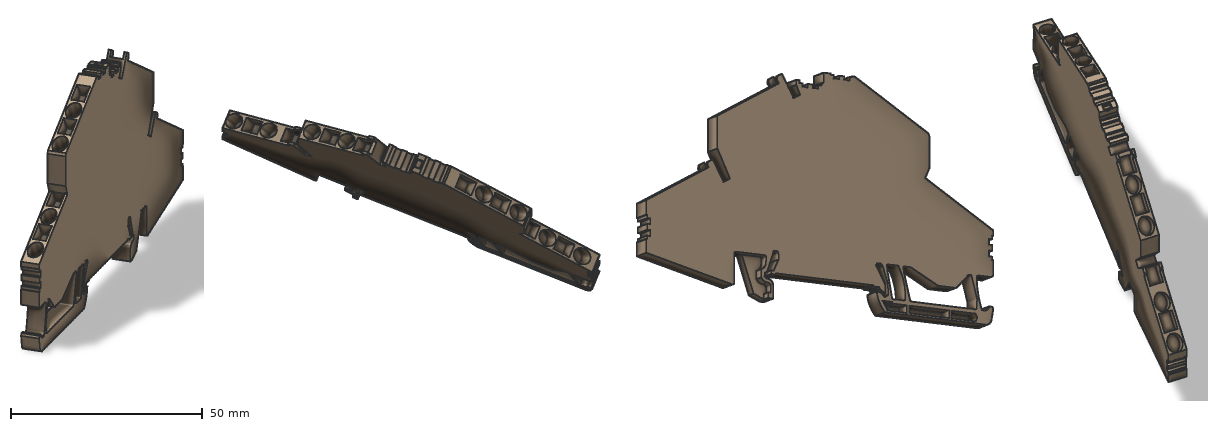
import cadquery as cq
import math

THICKNESS = 5.1
LENGTH = 104.0
HEIGHT = 62.0
HALF_THICKNESS = THICKNESS / 2
HALF_LENGTH = LENGTH / 2
CUT_MARGIN = 1.0

SLOPE_ANGLE = math.radians(30)
UPPER_WALL_POS_Y = 30.7
UPPER_WALL_NEG_Y = -32.9
WALL_BEVEL_WIDTH = 0.3
WALL_BEVEL_HEIGHT = 0.6
UPPER_SLOPE_POS_Z = 47.0
UPPER_SLOPE_NEG_Z = 49.0
LOWER_SLOPE_POS_Z = 22.2
LOWER_SLOPE_NEG_Z = 25.4
LOWER_SLOPE_NEG_TOP_Y = -31.6

CLAMP_WIDTH = 4.1
CLAMP_LENGTH = 5.1
CLAMP_DEPTH = 5.0
RELEASE_WIDTH = 3.6
RELEASE_LENGTH = 5.1
RELEASE_DEPTH = 4.5
TAB_RELEASE_LENGTH = 4.8
OPENING_CLEARANCE = 0.1
CLAMP_TO_RELEASE = 5.8
TERMINAL_PITCH = 11.2
TERMINALS_PER_SLOPE = 2

LOWER_POS_CLAMP_Y = 49.8
UPPER_POS_CLAMP_Y = 27.9
UPPER_NEG_CLAMP_Y = -30.3
LOWER_NEG_CLAMP_Y = -48.2

SLOT_WIDTH = 2.2
SLOT_DEPTH = 5.2
TAB_THICKNESS = 2.2
TAB_BEVEL = 0.6
UPPER_TAB_Y = 10.4
UPPER_TAB_HEIGHT = 1.9
LOWER_TAB_Y = 31.4
LOWER_TAB_HEIGHT = 1.4

UPPER_TAB_RELEASE_END_Y = 15.6
LOWER_TAB_RELEASE_END_Y = 35.9

GROOVE_WIDTH = 1.6
GROOVE_PITCH = 3.1
GROOVE_DEPTH = 0.9
RECESS_LENGTH = 6.5
RECESS_DEPTH = 0.3
END_GROOVES_POS_Z = 15.1
END_GROOVES_NEG_Z = 20.7
LOW_TOP_GROOVES_Y = 2.8
HIGH_TOP_GROOVES_Y = -6.5

LOW_STEP_Z = 58.8
LOW_RIDGE_Z = 59.2
HIGH_STEP_Y = -1.1
TOP_POCKET_WIDTH = 2.2
TOP_POCKET_LENGTH = 1.5
TOP_POCKET_DEPTH = 1.0
TOP_POCKET_WALL = 0.3

UNDERSIDE_Z = 6.9
SUPPORT_TOP_Z = 12.9
WINDOW_APEX_Z = 13.3
HOOK_TOP_Z = 11.3
HOOK_GAP_ROUND = 0.6
FOOT_TOP_Z = 3.7
END_ROUND = 0.7
WINDOW_ROUND = 0.5
HOOK_RECESS_DEPTH = HALF_THICKNESS
FOOT_POCKET_DEPTH = 4.1
FOOT_POCKET_BOTTOM_Z = 0.5
FOOT_POCKET_TOP_Z = 2.6
FOOT_POCKET_ROUND = 0.2


def profile_plane(x):
    """Sketch plane at the given X, with sketch axes along Y and Z."""
    return cq.Workplane("YZ", origin=(x, 0, 0))


def prism(points, x_start=-HALF_THICKNESS, depth=THICKNESS):
    return profile_plane(x_start).polyline(points).close().extrude(depth)


def side_box(y_min, y_max, z_min, z_max):
    """Box through the full thickness."""
    return prism([(y_min, z_min), (y_max, z_min), (y_max, z_max), (y_min, z_max)])


def on_slope(base, side, along, above=0.0):
    """Point reached from base going down the slope and outward from its surface."""
    y, z = base
    cos_a, sin_a = math.cos(SLOPE_ANGLE), math.sin(SLOPE_ANGLE)
    return (y + side * (along * cos_a + above * sin_a), z - along * sin_a + above * cos_a)


def slope_z(y, end):
    """Height of the slope that ends at the given outer (Y, Z) point."""
    return end[1] + abs(end[0] - y) * math.tan(SLOPE_ANGLE)


POS_LOWER_END = (HALF_LENGTH, LOWER_SLOPE_POS_Z)
POS_UPPER_END = (UPPER_WALL_POS_Y, UPPER_SLOPE_POS_Z)
NEG_UPPER_END = (UPPER_WALL_NEG_Y, UPPER_SLOPE_NEG_Z)
NEG_LOWER_END = (-HALF_LENGTH, LOWER_SLOPE_NEG_Z)


def tab_and_slot(tab_y, slope_end, tab_height):
    """Outline of a retaining tab followed by the marker slot behind it."""
    base = (tab_y, slope_z(tab_y, slope_end))
    return [
        on_slope(base, 1, TAB_THICKNESS),
        on_slope(base, 1, TAB_THICKNESS, tab_height - TAB_BEVEL),
        on_slope(base, 1, TAB_THICKNESS - TAB_BEVEL, tab_height),
        on_slope(base, 1, 0, tab_height),
        on_slope(base, 1, 0, -SLOT_DEPTH),
        on_slope(base, 1, -SLOT_WIDTH, -SLOT_DEPTH),
    ]


def body_profile():
    """Closed side outline, drawn from the +Y end over the top to the -Y end and back below."""
    peak_y = UPPER_WALL_NEG_Y + (HEIGHT - UPPER_SLOPE_NEG_Z) / math.tan(SLOPE_ANGLE)
    bevel_y = UPPER_WALL_NEG_Y + WALL_BEVEL_WIDTH
    top_edge = [
        (HALF_LENGTH, 8.1),
        POS_LOWER_END,
        *tab_and_slot(LOWER_TAB_Y, POS_LOWER_END, LOWER_TAB_HEIGHT),
        (UPPER_WALL_POS_Y, 38.3),
        POS_UPPER_END,
        *tab_and_slot(UPPER_TAB_Y, POS_UPPER_END, UPPER_TAB_HEIGHT),
        (7.1, 57.8),
        (7.1, LOW_RIDGE_Z),
        (6.0, LOW_RIDGE_Z),
        (6.0, LOW_STEP_Z),
        (-0.6, LOW_STEP_Z),
        (HIGH_STEP_Y, 59.4),
        (HIGH_STEP_Y, HEIGHT),
        (peak_y, HEIGHT),
        (bevel_y, slope_z(bevel_y, NEG_UPPER_END)),
        (UPPER_WALL_NEG_Y, UPPER_SLOPE_NEG_Z - WALL_BEVEL_HEIGHT),
        (UPPER_WALL_NEG_Y, 39.9),
        (LOWER_SLOPE_NEG_TOP_Y, slope_z(LOWER_SLOPE_NEG_TOP_Y, NEG_LOWER_END)),
        NEG_LOWER_END,
        (-HALF_LENGTH, SUPPORT_TOP_Z + END_ROUND),
    ]
    outer_leg_y = -47.0
    snap_slot = [
        (-18.1, 5.3),
        (-19.5, 4.1),
        (-20.5, 4.8),
        (-20.4, 7.7),
        (-18.8, 12.3),
        (-18.2, SUPPORT_TOP_Z),
        (-17.3, SUPPORT_TOP_Z),
        (-16.8, 12.3),
        (-19.5, 7.5),
        (-19.7, 5.0),
        (-18.0, 6.0),
        (-17.8, 6.5),
        (-16.0, 6.5),
        (-15.9, UNDERSIDE_Z),
    ]
    underside_lip = [(13.0, UNDERSIDE_Z), (13.1, 6.5), (14.6, 6.5), (14.6, 7.5), (13.8, 7.5)]
    gap_corner = (25.6, HOOK_TOP_Z)
    return (
        profile_plane(-HALF_THICKNESS)
        .polyline(top_edge)
        .radiusArc((-HALF_LENGTH + END_ROUND, SUPPORT_TOP_Z), -END_ROUND)
        .lineTo(outer_leg_y - END_ROUND, SUPPORT_TOP_Z)
        .radiusArc((outer_leg_y, SUPPORT_TOP_Z - END_ROUND), END_ROUND)
        .threePointArc((-47.3, 8.8), (-48.3, 4.7))
        .lineTo(-48.7, FOOT_TOP_Z)
        .threePointArc((-49.9, 3.8), (-50.8, 5.0))
        .lineTo(-51.7, 5.0)
        .lineTo(-HALF_LENGTH, 4.4)
        .lineTo(-51.5, 1.5)
        .threePointArc((-51.1, 0.6), (-50.2, 0))
        .lineTo(-19.5, 0)
        .threePointArc((-17.9, 2.4), (-17.1, 5.3))
        .polyline(snap_slot + underside_lip, includeCurrent=True)
        .lineTo(12.4, 10.6)
        .lineTo(12.4, 12.1)
        .threePointArc((13.2, SUPPORT_TOP_Z), (14.0, 12.1))
        .lineTo(15.8, UNDERSIDE_Z)
        .threePointArc((16.5, 6.0), (15.6, 5.2))
        .threePointArc((14.4, 4.6), (13.9, 3.7))
        .lineTo(13.9, 0)
        .lineTo(15.1, 0)
        .lineTo(18.4, 1.4)
        .lineTo(21.9, HOOK_TOP_Z)
        .lineTo(gap_corner[0] - HOOK_GAP_ROUND, HOOK_TOP_Z)
        .radiusArc((gap_corner[0], HOOK_TOP_Z - HOOK_GAP_ROUND), HOOK_GAP_ROUND)
        .lineTo(gap_corner[0], 3.1)
        .threePointArc((25.8, 2.6), (26.4, 2.5))
        .close()
    )


def foot_windows():
    """Two windows between the legs of the foot."""
    narrow = (
        profile_plane(-HALF_THICKNESS)
        .moveTo(-20.0, SUPPORT_TOP_Z)
        .lineTo(-21.7, FOOT_TOP_Z)
        .lineTo(-25.6, FOOT_TOP_Z)
        .threePointArc((-25.1, 9.2), (-23.5, SUPPORT_TOP_Z))
        .close()
        .extrude(THICKNESS)
    )
    wide = prism([
        (-24.9, SUPPORT_TOP_Z),
        (-27.1, FOOT_TOP_Z),
        (-47.0, FOOT_TOP_Z),
        (-47.1, 6.5),
        (-45.2, WINDOW_APEX_Z),
        (-41.0, 8.8),
        (-35.4, 8.8),
        (-27.1, SUPPORT_TOP_Z),
    ])
    return [window.edges("|X").fillet(WINDOW_ROUND) for window in (narrow, wide)]


def foot_pockets():
    """Three blind pockets in the -X face of the foot."""
    bottom, top = FOOT_POCKET_BOTTOM_Z, FOOT_POCKET_TOP_Z
    inner = [(-18.8, 3.0), (-20.4, bottom), (-26.1, bottom), (-26.1, top), (-21.8, top), (-21.6, 3.0)]
    middle = [(-26.8, bottom), (-38.8, bottom), (-38.8, top), (-26.8, top)]
    outer = [(-39.4, bottom), (-46.6, bottom), (-47.2, 1.6), (-46.6, top), (-39.4, top)]
    pockets = [prism(outline, depth=FOOT_POCKET_DEPTH) for outline in (middle, outer)]
    rounded = [pocket.edges("|X").fillet(FOOT_POCKET_ROUND) for pocket in pockets]
    return [prism(inner, depth=FOOT_POCKET_DEPTH)] + rounded


def hook_recess():
    """Region of the hook that is thinned from the -X face, leaving a strip along its inner edge."""
    return (
        profile_plane(-HALF_THICKNESS)
        .moveTo(21.9, HOOK_TOP_Z)
        .lineTo(16.6, HOOK_TOP_Z)
        .threePointArc((16.2, 11.1), (16.0, 10.7))
        .lineTo(16.2, 8.8)
        .threePointArc((16.6, 8.1), (17.6, 7.5))
        .lineTo(17.6, 5.3)
        .threePointArc((17.0, 4.6), (15.8, 4.2))
        .threePointArc((14.9, 3.7), (14.7, 3.2))
        .lineTo(14.7, 1.6)
        .lineTo(15.4, 1.6)
        .lineTo(15.4, -CUT_MARGIN)
        .lineTo(21.9, -CUT_MARGIN)
        .close()
        .extrude(HOOK_RECESS_DEPTH)
    )


def label_grooves(centre):
    """Spans (start, end, depth) of the recess and its two grooves about a centre."""
    spans = [(centre - RECESS_LENGTH / 2, centre + RECESS_LENGTH / 2, RECESS_DEPTH)]
    for side in (-1, 1):
        middle = centre + side * GROOVE_PITCH / 2
        spans.append((middle - GROOVE_WIDTH / 2, middle + GROOVE_WIDTH / 2, RECESS_DEPTH + GROOVE_DEPTH))
    return spans


def end_grooves(centre_z, side):
    cutters = []
    for z_min, z_max, depth in label_grooves(centre_z):
        y_limits = sorted([side * (HALF_LENGTH - depth), side * (HALF_LENGTH + CUT_MARGIN)])
        cutters.append(side_box(*y_limits, z_min, z_max))
    return cutters


def top_grooves(centre_y, face_z):
    return [
        side_box(y_min, y_max, face_z - depth, face_z + CUT_MARGIN)
        for y_min, y_max, depth in label_grooves(centre_y)
    ]


def top_pocket():
    y_centre = HIGH_STEP_Y - TOP_POCKET_WALL - TOP_POCKET_LENGTH / 2
    return (
        cq.Workplane("XY", origin=(0, y_centre, HEIGHT - TOP_POCKET_DEPTH))
        .rect(TOP_POCKET_WIDTH, TOP_POCKET_LENGTH)
        .extrude(TOP_POCKET_DEPTH + CUT_MARGIN)
    )


def slope_plane(y, slope_end, side, depth):
    """Plane sunk below a slope and facing outward, with its second axis along the slope."""
    y_sunk, z_sunk = on_slope((y, slope_z(y, slope_end)), side, 0, -depth)
    normal = (0, side * math.sin(SLOPE_ANGLE), math.cos(SLOPE_ANGLE))
    return cq.Workplane(cq.Plane(origin=(0, y_sunk, z_sunk), xDir=(1, 0, 0), normal=normal))


def clamp_opening(y, slope_end, side):
    return (
        slope_plane(y, slope_end, side, CLAMP_DEPTH)
        .ellipse(CLAMP_WIDTH / 2, CLAMP_LENGTH / 2)
        .extrude(CLAMP_DEPTH + OPENING_CLEARANCE)
    )


def release_opening(y, slope_end, side):
    return (
        slope_plane(y, slope_end, side, RELEASE_DEPTH)
        .rect(RELEASE_WIDTH, RELEASE_LENGTH)
        .extrude(RELEASE_DEPTH + OPENING_CLEARANCE)
    )


def tab_release_opening(outer_y, slope_end):
    """Release opening next to a marker slot, given the place of its outer edge."""
    middle_y = outer_y - TAB_RELEASE_LENGTH / 2 * math.cos(SLOPE_ANGLE)
    return (
        slope_plane(middle_y, slope_end, 1, RELEASE_DEPTH)
        .rect(RELEASE_WIDTH, TAB_RELEASE_LENGTH)
        .extrude(RELEASE_DEPTH + OPENING_CLEARANCE)
    )


def tab_notch(tab_y, tab_height, slope_end):
    """Passage through a retaining tab, level with the slope below it."""
    length = TAB_THICKNESS + 2 * CUT_MARGIN
    middle_y = tab_y + TAB_THICKNESS / 2 * math.cos(SLOPE_ANGLE)
    return (
        slope_plane(middle_y, slope_end, 1, 0)
        .rect(RELEASE_WIDTH, length)
        .extrude(tab_height + CUT_MARGIN)
    )


def terminal_openings(outer_clamp_y, slope_end, release_count):
    """Clamp openings along one slope, each followed inward by a release opening."""
    side = math.copysign(1, outer_clamp_y)
    inward = side * math.cos(SLOPE_ANGLE)
    clamp_places = [outer_clamp_y - inward * i * TERMINAL_PITCH for i in range(TERMINALS_PER_SLOPE)]
    release_places = [y - inward * CLAMP_TO_RELEASE for y in clamp_places[:release_count]]
    clamps = [clamp_opening(y, slope_end, side) for y in clamp_places]
    releases = [release_opening(y, slope_end, side) for y in release_places]
    return clamps + releases


cutters = [
    *foot_windows(),
    *foot_pockets(),
    hook_recess(),
    *end_grooves(END_GROOVES_POS_Z, 1),
    *end_grooves(END_GROOVES_NEG_Z, -1),
    *top_grooves(LOW_TOP_GROOVES_Y, LOW_STEP_Z),
    *top_grooves(HIGH_TOP_GROOVES_Y, HEIGHT),
    top_pocket(),
    *terminal_openings(LOWER_POS_CLAMP_Y, POS_LOWER_END, TERMINALS_PER_SLOPE - 1),
    *terminal_openings(UPPER_POS_CLAMP_Y, POS_UPPER_END, TERMINALS_PER_SLOPE - 1),
    tab_release_opening(LOWER_TAB_RELEASE_END_Y, POS_LOWER_END),
    tab_notch(LOWER_TAB_Y, LOWER_TAB_HEIGHT, POS_LOWER_END),
    tab_release_opening(UPPER_TAB_RELEASE_END_Y, POS_UPPER_END),
    tab_notch(UPPER_TAB_Y, UPPER_TAB_HEIGHT, POS_UPPER_END),
    *terminal_openings(UPPER_NEG_CLAMP_Y, NEG_UPPER_END, TERMINALS_PER_SLOPE),
    *terminal_openings(LOWER_NEG_CLAMP_Y, NEG_LOWER_END, TERMINALS_PER_SLOPE),
]

result = body_profile().extrude(THICKNESS)
for cutter in cutters:
    result = result.cut(cutter)